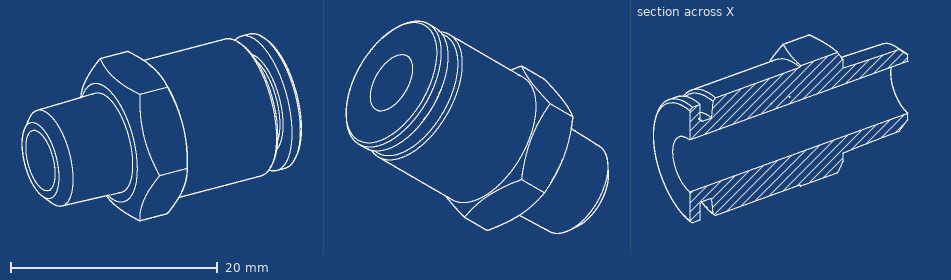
import cadquery as cq
import math

total_length = 25.2

nose_tip_radius = 3.78
nose_front_radius = 4.8
nose_root_radius = 4.96
nose_chamfer_length = 1.0

hex_across_flats = 14.0
hex_front = 7.45
hex_rear = 12.47
hex_front_face_radius = 5.9
hex_chamfer_angle = math.radians(30)

body_radius = 6.85
body_chamfer_start = 22.23
body_chamfer_end = 22.53
body_chamfer_radius = 6.55
body_end = 22.7

neck_radius = 4.69
collar_radius = 6.73
collar_front = 24.0
collar_chamfer = 0.3
neck_chamfer = 0.23

bore_radius = 3.0


def revolve_profile(points):
    """Revolve a closed outline of (radius, Y) points around the Y axis."""
    return cq.Workplane("XY").polyline(points).close().revolve(360, (0, 0, 0), (0, 1, 0))


def make_nose():
    return revolve_profile([
        (0, 0),
        (nose_tip_radius, 0),
        (nose_front_radius, nose_chamfer_length),
        (nose_root_radius, hex_front),
        (0, hex_front),
    ])


def make_hex():
    corner_radius = hex_across_flats / math.sqrt(3)
    slope = math.tan(hex_chamfer_angle)
    front_cone_end = hex_front + (corner_radius - hex_front_face_radius) * slope
    rear_cone_start = hex_rear - (corner_radius - body_radius) * slope
    prism = (
        cq.Workplane("XZ", origin=(0, hex_front, 0))
        .polygon(6, 2 * corner_radius)
        .extrude(hex_front - hex_rear)
    )
    chamfer_envelope = revolve_profile([
        (0, hex_front),
        (hex_front_face_radius, hex_front),
        (corner_radius, front_cone_end),
        (corner_radius, rear_cone_start),
        (body_radius, hex_rear),
        (0, hex_rear),
    ])
    return prism.intersect(chamfer_envelope)


def make_body():
    return revolve_profile([
        (0, hex_rear),
        (body_radius, hex_rear),
        (body_radius, body_chamfer_start),
        (body_chamfer_radius, body_chamfer_end),
        (neck_radius, body_end),
        (0, body_end),
    ])


def make_collar():
    collar = revolve_profile([
        (0, body_end),
        (neck_radius, body_end),
        (neck_radius, collar_front - neck_chamfer),
        (neck_radius + neck_chamfer, collar_front),
        (collar_radius, collar_front),
        (collar_radius, total_length),
        (0, total_length),
    ])
    return collar.faces(">Y").edges().chamfer(collar_chamfer)


bore = cq.Workplane("XZ").circle(bore_radius).extrude(-total_length)

result = make_nose().union(make_hex()).union(make_body()).union(make_collar()).cut(bore)